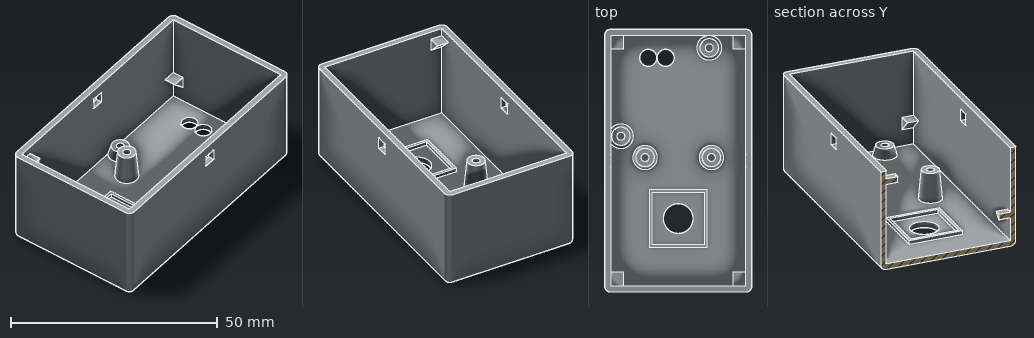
import cadquery as cq

LENGTH = 63.6
WIDTH = 35.6
HEIGHT = 26.5
WALL = 1.5
FLOOR = 1.65
EDGE_RADIUS = 1.45
INNER_X = WIDTH / 2 - WALL
INNER_Y = LENGTH / 2 - WALL

TALL_POST_TOP = 9.3
SHORT_POST_TOP = 4.3
TALL_POST_BASE_RADIUS = 2.9
SHORT_POST_BASE_RADIUS = 3.0
POST_TOP_RADIUS = 2.2
POST_BORE_RADIUS = 0.95
POSTS = [
    (7.5, 27.3, SHORT_POST_TOP, SHORT_POST_BASE_RADIUS),
    (-13.85, 5.9, SHORT_POST_TOP, SHORT_POST_BASE_RADIUS),
    (-8.0, 0.75, TALL_POST_TOP, TALL_POST_BASE_RADIUS),
    (8.0, 0.75, TALL_POST_TOP, TALL_POST_BASE_RADIUS),
]

WEDGE_WIDTH = 3.0
WEDGE_DEPTH = 3.3
LOW_WEDGE_TOP = 9.3
HIGH_WEDGE_TOP = 24.4
WEDGES = [
    (-1, 1, LOW_WEDGE_TOP),
    (1, 1, LOW_WEDGE_TOP),
    (1, -1, LOW_WEDGE_TOP),
    (-1, -1, HIGH_WEDGE_TOP),
]

SENSOR_Y = 24.85
SENSOR_CENTRES = [(-7.25, SENSOR_Y), (-3.05, SENSOR_Y)]
SENSOR_DIAMETER = 4.1
BUTTON_Y = -14.0
BUTTON_DIAMETER = 7.1
RIM_OUTER = 14.0
RIM_INNER = 12.6
RIM_HEIGHT = 1.0

WINDOW_SIZE = 3.05
WINDOW_Z = 22.1


def make_shell():
    """Open-topped box with rounded upright and bottom edges."""
    outer = cq.Workplane("XY").box(WIDTH, LENGTH, HEIGHT, centered=(True, True, False))
    outer = outer.edges("|Z").fillet(EDGE_RADIUS).faces("<Z").edges().fillet(EDGE_RADIUS)
    cavity = cq.Workplane("XY", origin=(0, 0, FLOOR)).rect(2 * INNER_X, 2 * INNER_Y).extrude(HEIGHT)
    return outer.cut(cavity)


def make_post(x, y, top, base_radius):
    """Conical post standing on the floor."""
    cone = cq.Solid.makeCone(base_radius, POST_TOP_RADIUS, top - FLOOR)
    return cq.Workplane(cone.translate(cq.Vector(x, y, FLOOR)))


def make_post_bore(x, y, top):
    """Blind screw hole from the post top down to the floor."""
    return cq.Workplane("XY", origin=(x, y, FLOOR)).circle(POST_BORE_RADIUS).extrude(top - FLOOR)


def make_wedge(side_x, side_y, top):
    """Flat-topped corner ledge that slopes back to the end wall at 45 degrees."""
    wall_y = side_y * INNER_Y
    tip_y = side_y * (INNER_Y - WEDGE_DEPTH)
    profile = [(wall_y, top), (tip_y, top), (wall_y, top - WEDGE_DEPTH)]
    start_x = -INNER_X if side_x < 0 else INNER_X - WEDGE_WIDTH
    return cq.Workplane("YZ", origin=(start_x, 0, 0)).polyline(profile).close().extrude(WEDGE_WIDTH)


def make_button_rim():
    """Low square frame around the large floor opening."""
    base = cq.Workplane("XY", origin=(0, BUTTON_Y, FLOOR))
    return base.rect(RIM_OUTER, RIM_OUTER).rect(RIM_INNER, RIM_INNER).extrude(RIM_HEIGHT)


result = make_shell()

for x, y, top, base_radius in POSTS:
    result = result.union(make_post(x, y, top, base_radius))
for x, y, top, _ in POSTS:
    result = result.cut(make_post_bore(x, y, top))

for wedge in WEDGES:
    result = result.union(make_wedge(*wedge))

result = result.union(make_button_rim())

sensor_holes = cq.Workplane("XY").pushPoints(SENSOR_CENTRES).circle(SENSOR_DIAMETER / 2).extrude(FLOOR)
button_hole = cq.Workplane("XY").center(0, BUTTON_Y).circle(BUTTON_DIAMETER / 2).extrude(FLOOR)
windows = cq.Workplane("XY", origin=(0, 0, WINDOW_Z)).box(WIDTH, WINDOW_SIZE, WINDOW_SIZE)
result = result.cut(sensor_holes).cut(button_hole).cut(windows)